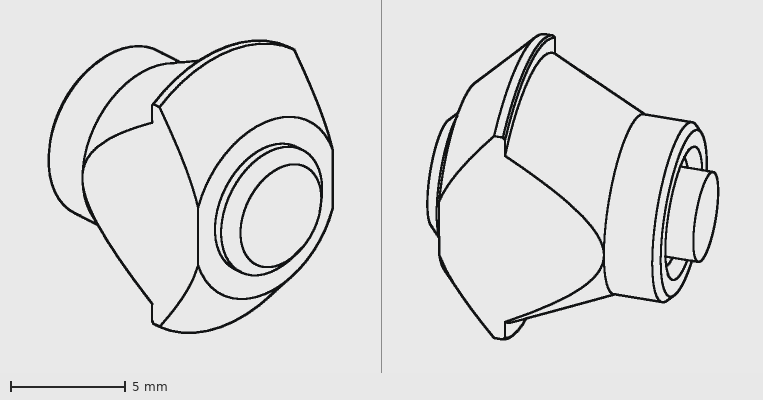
import cadquery as cq


collar_radius = 4.0
collar_length = 2.5
collar_chamfer = 0.3
flange_start = 7.0
flange_radius = 6.75
flange_chamfer = 0.1
flange_end = 7.5
taper_end_radius = 6.0
housing_length = 10.0
back_radius = flange_radius - (housing_length - flange_end)
width_across_flats = 2 * collar_radius

tip_radius = 2.0
tip_projection = 1.0
head_radius = 3.0
head_projection = 1.0
head_chamfer = 0.6

tip_length = 3.0
shoulder_start = tip_length - tip_projection
shoulder_end = shoulder_start + (head_radius - tip_radius)

throat_radius = 2.46
countersink = 0.5
seat_start = shoulder_start + (throat_radius - tip_radius)


def revolve_about_x(points):
    """Turn a closed (x, radius) outline about the X axis."""
    return cq.Workplane("XY").polyline(points).close().revolve(360, (0, 0, 0), (1, 0, 0))


def make_housing():
    turned = revolve_about_x([
        (0, throat_radius + countersink),
        (0, collar_radius - collar_chamfer),
        (collar_chamfer, collar_radius),
        (collar_length, collar_radius),
        (flange_start, taper_end_radius),
        (flange_start, flange_radius - flange_chamfer),
        (flange_start + flange_chamfer, flange_radius),
        (flange_end, flange_radius),
        (housing_length, back_radius),
        (housing_length, head_radius),
        (shoulder_end, head_radius),
        (seat_start, throat_radius),
        (countersink, throat_radius),
    ])
    flat_slab = cq.Workplane("XY").box(
        housing_length, width_across_flats, 2 * flange_radius, centered=(False, True, True)
    )
    return turned.intersect(flat_slab)


def make_plunger():
    head_end = housing_length + head_projection
    return revolve_about_x([
        (-tip_projection, 0),
        (-tip_projection, tip_radius),
        (shoulder_start, tip_radius),
        (shoulder_end, head_radius),
        (head_end - head_chamfer, head_radius),
        (head_end, head_radius - head_chamfer),
        (head_end, 0),
    ])


housing = make_housing()
plunger = make_plunger()

result = cq.Compound.makeCompound([housing.val(), plunger.val()])